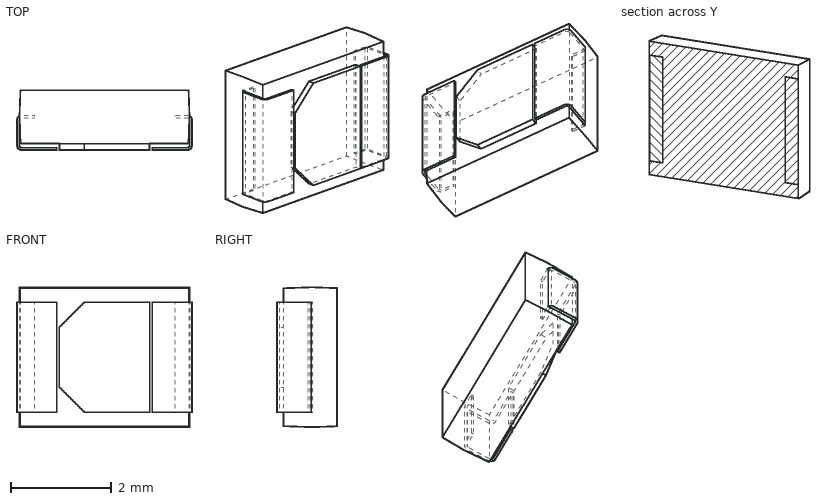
import cadquery as cq
import math

case_length = 3.4
case_height = 2.8
overall_depth = 1.2
standoff = 0.13
back_depth = 0.5
draft_angle = 2.0
parting_y = overall_depth - back_depth
front_depth = parting_y - standoff

lead_thickness = 0.05
lead_height = 2.2
lead_bend_radius = 0.1
lead_foot_length = 0.8
lead_embedment = 0.3
lead_outer_x = case_length / 2 + lead_thickness
lead_bend_inner_radius = lead_bend_radius - lead_thickness

pad_gap = 0.05
pad_corner = 0.5
pad_half_length = lead_outer_x - lead_foot_length - pad_gap
pad_half_height = lead_height / 2


def drafted_half(depth, toward_back):
    """Tapered block from the parting plane to the back or front of the case."""
    inset = depth * math.tan(math.radians(draft_angle))
    direction = 1 if toward_back else -1
    return (
        cq.Workplane("XZ", origin=(0, parting_y, 0))
        .rect(case_length, case_height)
        .workplane(offset=-direction * depth)
        .rect(case_length - 2 * inset, case_height - 2 * inset)
        .loft(ruled=True)
    )


def make_pad():
    """Plate from the mounting plane up to the front of the case."""
    return (
        cq.Workplane("XZ")
        .moveTo(pad_half_length, -pad_half_height)
        .lineTo(pad_half_length, pad_half_height)
        .lineTo(pad_corner - pad_half_length, pad_half_height)
        .lineTo(-pad_half_length, pad_half_height - pad_corner)
        .lineTo(-pad_half_length, pad_corner - pad_half_height)
        .lineTo(pad_corner - pad_half_length, -pad_half_height)
        .close()
        .extrude(-standoff)
    )


def make_lead(side):
    """Strip that leaves the case at the parting plane, runs down its end and turns under it.

    side is +1 for the +X end and -1 for the -X end.
    """
    foot_end = lead_outer_x - lead_foot_length
    embedded_end = case_length / 2 - lead_embedment
    inner_x = lead_outer_x - lead_thickness
    bend_x = lead_outer_x - lead_bend_radius
    lower_bend_y = lead_bend_radius
    upper_bend_y = parting_y - lead_bend_radius
    outer_mid = lead_bend_radius * math.sqrt(0.5)
    inner_mid = lead_bend_inner_radius * math.sqrt(0.5)

    def at(x, y):
        return (side * x, y)

    return (
        cq.Workplane("XY", origin=(0, 0, -lead_height / 2))
        .moveTo(*at(foot_end, 0))
        .lineTo(*at(bend_x, 0))
        .threePointArc(at(bend_x + outer_mid, lower_bend_y - outer_mid), at(lead_outer_x, lower_bend_y))
        .lineTo(*at(lead_outer_x, upper_bend_y))
        .threePointArc(at(bend_x + outer_mid, upper_bend_y + outer_mid), at(bend_x, parting_y))
        .lineTo(*at(embedded_end, parting_y))
        .lineTo(*at(embedded_end, parting_y - lead_thickness))
        .lineTo(*at(bend_x, parting_y - lead_thickness))
        .threePointArc(at(bend_x + inner_mid, upper_bend_y + inner_mid), at(inner_x, upper_bend_y))
        .lineTo(*at(inner_x, lower_bend_y))
        .threePointArc(at(bend_x + inner_mid, lower_bend_y - inner_mid), at(bend_x, lead_thickness))
        .lineTo(*at(foot_end, lead_thickness))
        .close()
        .extrude(lead_height)
    )


leads = [make_lead(side) for side in (-1, 1)]

case = drafted_half(back_depth, True).union(drafted_half(front_depth, False)).union(make_pad())
for lead in leads:
    case = case.cut(lead)

result = cq.Compound.makeCompound([case.val(), *[lead.val() for lead in leads]])